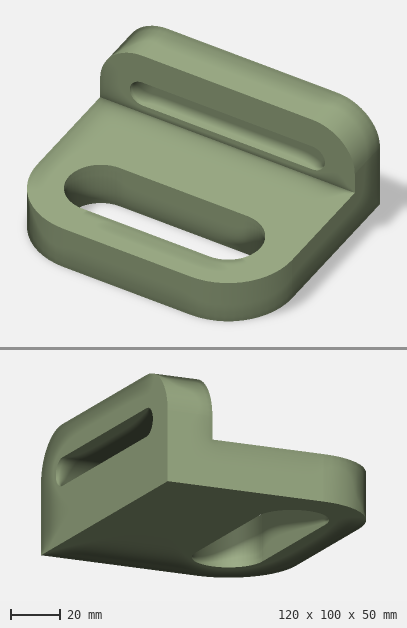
import cadquery as cq

width = 120.0
depth = 100.0
height = 50.0
thickness = 20.0
base_corner_radius = 30.0
upright_corner_radius = 20.0
base_slot_width = 30.0
upright_slot_width = 12.0

base_slot_length = width - 2 * base_corner_radius + base_slot_width
upright_slot_length = width - 2 * upright_corner_radius + upright_slot_width
base_slot_y = base_corner_radius - depth / 2
upright_slot_z = height - upright_corner_radius


def make_base():
    """Flat plate with rounded front corners, resting on Z = 0."""
    plate = cq.Workplane("XY").box(width, depth, thickness, centered=(True, True, False))
    return plate.edges("|Z and <Y").fillet(base_corner_radius)


def make_upright():
    """Wall along the back edge with rounded top corners."""
    wall = (
        cq.Workplane("XY")
        .box(width, thickness, height, centered=(True, True, False))
        .translate((0, (depth - thickness) / 2, 0))
    )
    return wall.edges("|Y and >Z").fillet(upright_corner_radius)


def make_base_slot():
    """Cutter for the slot running vertically through the base."""
    return (
        cq.Workplane("XY")
        .center(0, base_slot_y)
        .slot2D(base_slot_length, base_slot_width)
        .extrude(thickness)
    )


def make_upright_slot():
    """Cutter for the slot running front to back through the upright."""
    return (
        cq.Workplane("XZ", origin=(0, depth / 2, upright_slot_z))
        .slot2D(upright_slot_length, upright_slot_width)
        .extrude(thickness)
    )


bracket = make_base().union(make_upright())
result = bracket.cut(make_base_slot()).cut(make_upright_slot())